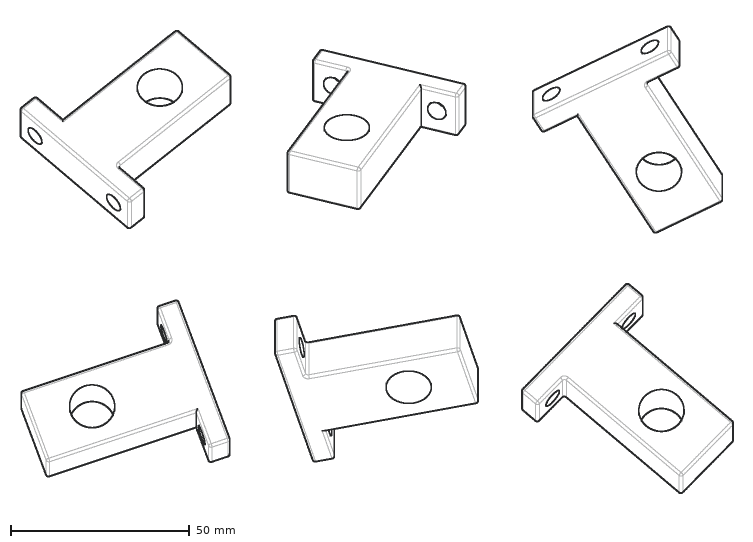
import cadquery as cq

flange_width = 44.45
total_length = 50.8
height = 14.2875
flange_thickness = 6.35
stem_width = 22.225
edge_radius = 0.79375

bore_diameter = 12.7
bore_distance = 33.3375
bore_offset = 0.12
mount_hole_diameter = 5.588
mount_hole_spacing = 31.75

half_stem = stem_width / 2
half_flange = flange_width / 2
base_y = -total_length / 2
shoulder_y = base_y + flange_thickness
stem_end_y = base_y + total_length


def make_tee():
    """Plain T profile extruded to full height."""
    outline = [
        (-half_flange, base_y),
        (half_flange, base_y),
        (half_flange, shoulder_y),
        (half_stem, shoulder_y),
        (half_stem, stem_end_y),
        (-half_stem, stem_end_y),
        (-half_stem, shoulder_y),
        (-half_flange, shoulder_y),
    ]
    return cq.Workplane("XY").workplane(offset=-height / 2).polyline(outline).close().extrude(height)


def round_edges(body):
    """Round every edge except the inner corner on the -X side, which stays sharp."""
    sharp_corner = cq.selectors.NearestToPointSelector((-half_stem, shoulder_y, 0))
    upright_edges = cq.selectors.ParallelDirSelector(cq.Vector(0, 0, 1))
    body = body.edges(cq.selectors.SubtractSelector(upright_edges, sharp_corner)).fillet(edge_radius)
    return body.faces("<Z or >Z").edges().fillet(edge_radius)


def cut_bore(body):
    """Large bore through the stem along Z."""
    bore = (
        cq.Workplane("XY")
        .center(bore_offset, base_y + bore_distance)
        .circle(bore_diameter / 2)
        .extrude(height, both=True)
    )
    return body.cut(bore)


def cut_mount_holes(body):
    """Pair of mounting holes through the flange along Y."""
    for side in (-1, 1):
        hole = (
            cq.Workplane("XZ", origin=(side * mount_hole_spacing / 2, shoulder_y, 0))
            .circle(mount_hole_diameter / 2)
            .extrude(flange_thickness)
        )
        body = body.cut(hole)
    return body


result = cut_mount_holes(cut_bore(round_edges(make_tee())))